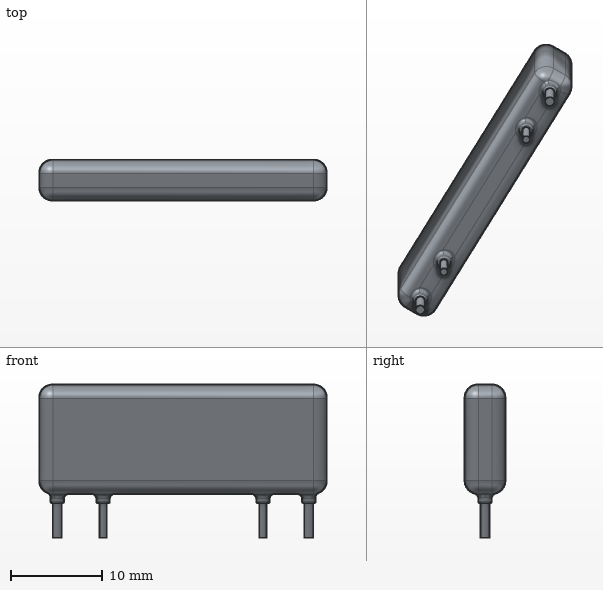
import cadquery as cq

HOUSING_LENGTH = 31.5
HOUSING_WIDTH = 4.5
HOUSING_HEIGHT = 12.0
HOUSING_EDGE_RADIUS = 1.5

COLLAR_DIAMETER = 1.5
COLLAR_HEIGHT = 1.0
COLLAR_ROOT_RADIUS = 0.5
COLLAR_TIP_RADIUS = 0.2

OVERALL_HEIGHT = 16.8
PIN_LENGTH = OVERALL_HEIGHT - HOUSING_HEIGHT - COLLAR_HEIGHT
OUTER_PIN_DIAMETER = 1.0
INNER_PIN_DIAMETER = 0.8
OUTER_PIN_X = 13.76
INNER_PIN_X = 8.74

PINS = [
    (-OUTER_PIN_X, OUTER_PIN_DIAMETER),
    (-INNER_PIN_X, INNER_PIN_DIAMETER),
    (INNER_PIN_X, INNER_PIN_DIAMETER),
    (OUTER_PIN_X, OUTER_PIN_DIAMETER),
]


def make_block():
    """Rectangular block with every edge rounded."""
    return (
        cq.Workplane("XY")
        .box(HOUSING_LENGTH, HOUSING_WIDTH, HOUSING_HEIGHT, centered=(True, True, False))
        .edges()
        .fillet(HOUSING_EDGE_RADIUS)
    )


def make_collar(x):
    """Collar with a rounded tip, reaching up into the block so that it joins all round."""
    return (
        cq.Workplane("XY", origin=(x, 0, -COLLAR_HEIGHT))
        .circle(COLLAR_DIAMETER / 2)
        .extrude(COLLAR_HEIGHT + HOUSING_EDGE_RADIUS)
        .faces("<Z")
        .edges()
        .fillet(COLLAR_TIP_RADIUS)
    )


def collar_root_edges(body, x):
    """Edges where the collar at x meets the underside of the block."""
    reach = COLLAR_DIAMETER / 2 + COLLAR_TIP_RADIUS
    root_zone = cq.selectors.BoxSelector(
        (x - reach, -reach, -COLLAR_TIP_RADIUS),
        (x + reach, reach, COLLAR_TIP_RADIUS),
        boundingbox=True,
    )
    return body.edges(root_zone)


def make_housing():
    """Block with its collars, each blended into the underside."""
    body = make_block()
    for x, _ in PINS:
        body = body.union(make_collar(x))
        body = collar_root_edges(body, x).fillet(COLLAR_ROOT_RADIUS)
    return body


def make_pin(x, diameter):
    """Straight round pin hanging from the tip of its collar."""
    return (
        cq.Workplane("XY", origin=(x, 0, -COLLAR_HEIGHT))
        .circle(diameter / 2)
        .extrude(-PIN_LENGTH)
    )


housing = make_housing()
pins = [make_pin(x, diameter) for x, diameter in PINS]

result = cq.Compound.makeCompound([housing.val(), *[pin.val() for pin in pins]])